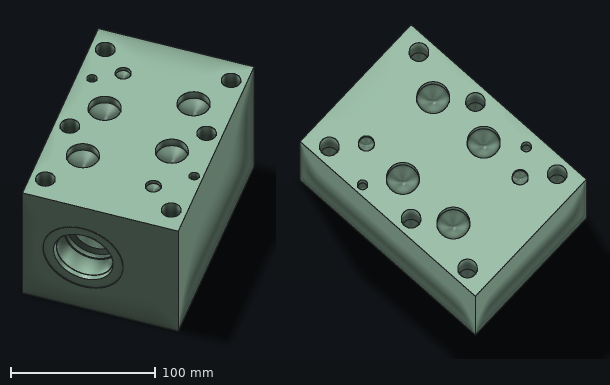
import cadquery as cq
import math

BLOCK_X = 114.2
BLOCK_Y = 165.1
BLOCK_Z = 101.5

BOLT_DIAMETER = 13.5
BOLT_DEPTH = 26.4
PORT_DIAMETER = 23.0
PORT_DEPTH = 6.6
PILOT_DIAMETER = 11.0
PILOT_DEPTH = 3.1
PIN_DIAMETER = 7.1
PIN_DEPTH = 8.3
DRILL_POINT_ANGLE = 120.0

BOLT_HALF_X = 46.0
BOLT_HALF_Y = 65.0
MIDDLE_BOLT_Y = 11.9

PORT_X = 28.5
PORT_NEAR_Y = 11.9
PORT_FAR_Y = 35.7
PILOT_X = 27.0
PILOT_Y = 47.5
LEFT_PIN = (-BOLT_HALF_X, 36.0)
RIGHT_PIN = (50.9, -29.4)

THREAD_PORT_X = -12.7
THREAD_PORT_Z = 0.0
SPOTFACE_DIAMETER = 58.6
SPOTFACE_DEPTH = 0.8
MOUTH_DIAMETER = 43.6
CONE_END_DIAMETER = 41.8
THREAD_DIAMETER = 41.3
TAP_DRILL_DIAMETER = 39.3
PASSAGE_DIAMETER = 31.7
MOUTH_CONE_DEPTH = 4.1
THREAD_DEPTH = 19.8
TAP_DRILL_DEPTH = 23.8
SHOULDER_LENGTH = 1.7
PASSAGE_DEPTH = 33.0


def drill_point_height(diameter):
    """Axial length of the drill point cone over the given diameter."""
    return diameter / 2 / math.tan(math.radians(DRILL_POINT_ANGLE / 2))


def drilled_holes(points, diameter, depth):
    """Blind holes with conical bottoms, drilled down from the top face."""
    radius = diameter / 2
    profile = [
        (0, 0),
        (radius, 0),
        (radius, -depth),
        (0, -depth - drill_point_height(diameter)),
    ]
    hole = cq.Workplane("XZ").polyline(profile).close().revolve(360, (0, 0), (0, 1)).val()
    top = BLOCK_Z / 2
    return cq.Workplane("XY").pushPoints(points).eachpoint(
        lambda location: hole.moved(location * cq.Location(cq.Vector(0, 0, top)))
    )


def threaded_port():
    """Stepped port cavity: spotface, seal cone, thread, tap drill and passage."""
    mouth = MOUTH_DIAMETER / 2
    cone_end = CONE_END_DIAMETER / 2
    thread = THREAD_DIAMETER / 2
    tap_drill = TAP_DRILL_DIAMETER / 2
    passage = PASSAGE_DIAMETER / 2
    shoulder_end = TAP_DRILL_DEPTH + SHOULDER_LENGTH
    tip = PASSAGE_DEPTH + drill_point_height(PASSAGE_DIAMETER)
    profile = [
        (0, 0),
        (SPOTFACE_DIAMETER / 2, 0),
        (SPOTFACE_DIAMETER / 2, SPOTFACE_DEPTH),
        (mouth, SPOTFACE_DEPTH),
        (cone_end, MOUTH_CONE_DEPTH),
        (thread, MOUTH_CONE_DEPTH),
        (thread, THREAD_DEPTH),
        (tap_drill, THREAD_DEPTH),
        (tap_drill, TAP_DRILL_DEPTH),
        (passage, shoulder_end),
        (passage, PASSAGE_DEPTH),
        (0, tip),
    ]
    cavity = cq.Workplane("XY").polyline(profile).close().revolve(360, (0, 0), (0, 1))
    return cavity.translate((THREAD_PORT_X, -BLOCK_Y / 2, THREAD_PORT_Z))


corner_bolts = [(x, y) for x in (-BOLT_HALF_X, BOLT_HALF_X) for y in (-BOLT_HALF_Y, BOLT_HALF_Y)]
middle_bolts = [(-BOLT_HALF_X, -MIDDLE_BOLT_Y), (BOLT_HALF_X, MIDDLE_BOLT_Y)]
main_ports = [
    (-PORT_X, PORT_NEAR_Y),
    (-PORT_X, -PORT_FAR_Y),
    (PORT_X, PORT_FAR_Y),
    (PORT_X, -PORT_NEAR_Y),
]
pilot_ports = [(-PILOT_X, PILOT_Y), (PILOT_X, -PILOT_Y)]

block = cq.Workplane("XY").box(BLOCK_X, BLOCK_Y, BLOCK_Z)
block = block.cut(drilled_holes(corner_bolts + middle_bolts, BOLT_DIAMETER, BOLT_DEPTH))
block = block.cut(drilled_holes(main_ports, PORT_DIAMETER, PORT_DEPTH))
block = block.cut(drilled_holes(pilot_ports, PILOT_DIAMETER, PILOT_DEPTH))
block = block.cut(drilled_holes([LEFT_PIN, RIGHT_PIN], PIN_DIAMETER, PIN_DEPTH))
result = block.cut(threaded_port())